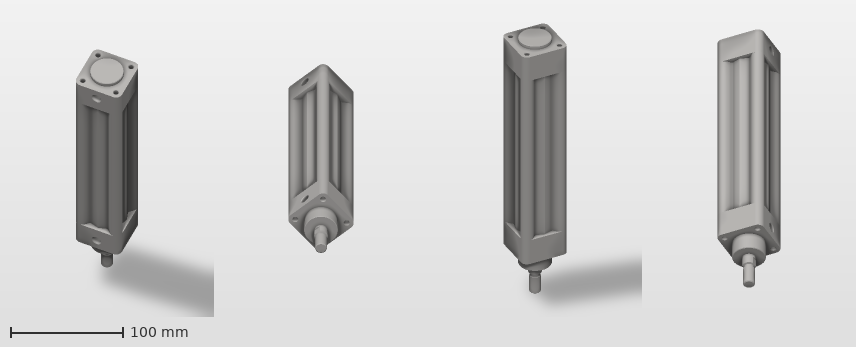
import cadquery as cq
import math


overall_length = 269.0
rod_length = 30.0
collar_length = 16.0
cap_length = 25.0
boss_length = 3.8

cap_width = 45.0
corner_radius = 6.0

collar_diameter = 30.0
collar_chamfer = 0.5
screw_hole_pitch = 32.5
screw_hole_diameter = 4.5
screw_hole_depth = 10.8
port_diameter = 8.3
port_depth = 8.0
hole_chamfer = 0.5
port_offset = 10.5

side_count = 4
ridge_height = 19.5
ridge_slope = 16.0
ridge_half_width = 5.5
valley_radius = 2.3
valley_inner_slope = 20.0
valley_outer_slope = 45.0
valley_outer_offset = 9.5

rod_diameter = 12.0
thread_diameter = 10.5
neck_diameter = 9.0
tip_chamfer = 0.8
thread_length = 17.2
neck_length = 2.7
neck_taper = 0.8
flats_length = 6.7
flats_width = 10.5

front_cap_bottom = rod_length + collar_length
barrel_bottom = front_cap_bottom + cap_length
rear_cap_top = overall_length - boss_length
barrel_top = rear_cap_top - cap_length
barrel_length = barrel_top - barrel_bottom


def on_circle(center, radius, degrees):
    """Point on a circle, with the angle turned from +Y towards +X."""
    angle = math.radians(degrees)
    return (center[0] + radius * math.sin(angle), center[1] + radius * math.cos(angle))


def turned(point, quarter):
    """Point turned clockwise about the axis by a number of quarter turns."""
    x, y = point
    for _turn in range(quarter):
        x, y = y, -x
    return (x, y)


def mirrored(point):
    """Point mirrored across the Y axis."""
    return (-point[0], point[1])


def make_barrel():
    """Extruded barrel with rounded corners and ridged sides."""
    post = cap_width / 2 - corner_radius
    post_center = (post, post)
    post_start = on_circle(post_center, corner_radius, -valley_outer_slope)
    post_middle = on_circle(post_center, corner_radius, 45)
    post_end = on_circle(post_center, corner_radius, 90 + valley_outer_slope)

    flank_drop = (post_start[0] - valley_outer_offset) * math.tan(math.radians(valley_outer_slope))
    valley_outer = (valley_outer_offset, post_start[1] - flank_drop)
    valley_center = on_circle(valley_outer, valley_radius, -valley_outer_slope)
    valley_bottom = on_circle(valley_center, valley_radius, 180)
    valley_inner = on_circle(valley_center, valley_radius, 180 + valley_inner_slope)

    ridge_top = (0, ridge_height)
    ridge_foot = (ridge_half_width, ridge_height - ridge_half_width * math.tan(math.radians(ridge_slope)))

    outline = cq.Workplane("XY").workplane(offset=barrel_bottom).moveTo(*ridge_top)
    for quarter in range(side_count):
        outline = (
            outline.lineTo(*turned(ridge_foot, quarter))
            .lineTo(*turned(valley_inner, quarter))
            .threePointArc(turned(valley_bottom, quarter), turned(valley_outer, quarter))
            .lineTo(*turned(post_start, quarter))
            .threePointArc(turned(post_middle, quarter), turned(post_end, quarter))
            .lineTo(*turned(mirrored(valley_outer), quarter + 1))
            .threePointArc(
                turned(mirrored(valley_bottom), quarter + 1),
                turned(mirrored(valley_inner), quarter + 1),
            )
            .lineTo(*turned(mirrored(ridge_foot), quarter + 1))
            .lineTo(*turned(ridge_top, quarter + 1))
        )
    return outline.close().extrude(barrel_length)


def hole_cutter(diameter, depth, mouth, inward):
    """Blind hole from the mouth point along the inward direction, with a chamfered mouth."""
    radius = diameter / 2
    bore = cq.Solid.makeCylinder(radius, depth, mouth, inward)
    chamfer = cq.Solid.makeCone(radius + hole_chamfer, radius, hole_chamfer, mouth, inward)
    return bore.fuse(chamfer)


def make_cap(inner_z, outward, collar):
    """End cap from its barrel face at inner_z, built towards outward (+1 up, -1 down)."""
    outer_z = inner_z + outward * cap_length
    cap = (
        cq.Workplane("XY", origin=(0, 0, inner_z))
        .rect(cap_width, cap_width)
        .extrude(outward * cap_length)
        .edges("|Z")
        .fillet(corner_radius)
    )
    outer_edge = ">Z" if outward > 0 else "<Z"
    round_collar = (
        cq.Workplane("XY", origin=(0, 0, outer_z))
        .circle(collar_diameter / 2)
        .extrude(outward * collar)
        .edges(outer_edge)
        .chamfer(collar_chamfer)
    )
    cap = cap.union(round_collar)

    inward = cq.Vector(0, 0, -outward)
    half_pitch = screw_hole_pitch / 2
    for x in (-half_pitch, half_pitch):
        for y in (-half_pitch, half_pitch):
            mouth = cq.Vector(x, y, outer_z)
            cap = cap.cut(cq.Workplane(hole_cutter(screw_hole_diameter, screw_hole_depth, mouth, inward)))

    port_mouth = cq.Vector(0, -cap_width / 2, outer_z - outward * port_offset)
    return cap.cut(cq.Workplane(hole_cutter(port_diameter, port_depth, port_mouth, cq.Vector(0, 1, 0))))


def make_rod():
    """Turned rod end: thread, relief neck and shank with two wrench flats."""
    thread_radius = thread_diameter / 2
    neck_radius = neck_diameter / 2
    rod_radius = rod_diameter / 2
    neck_top = thread_length + neck_length
    flats_bottom = neck_top + neck_taper
    rod = (
        cq.Workplane("XZ")
        .polyline(
            [
                (0, 0),
                (thread_radius - tip_chamfer, 0),
                (thread_radius, tip_chamfer),
                (thread_radius, thread_length),
                (neck_radius, thread_length),
                (neck_radius, neck_top),
                (rod_radius, flats_bottom),
                (rod_radius, rod_length),
                (0, rod_length),
            ]
        )
        .close()
        .revolve(360, (0, 0, 0), (0, 1, 0))
    )
    for side in (-1, 1):
        flat = cq.Workplane("XY").box(
            rod_diameter, rod_diameter, flats_length + neck_taper, centered=(True, True, False)
        )
        rod = rod.cut(flat.translate((0, side * (flats_width + rod_diameter) / 2, neck_top)))
    return rod


barrel = make_barrel()
front_cap = make_cap(barrel_bottom, -1, collar_length)
rear_cap = make_cap(barrel_top, 1, boss_length)
rod = make_rod()

result = cq.Compound.makeCompound([barrel.val(), front_cap.val(), rear_cap.val(), rod.val()])